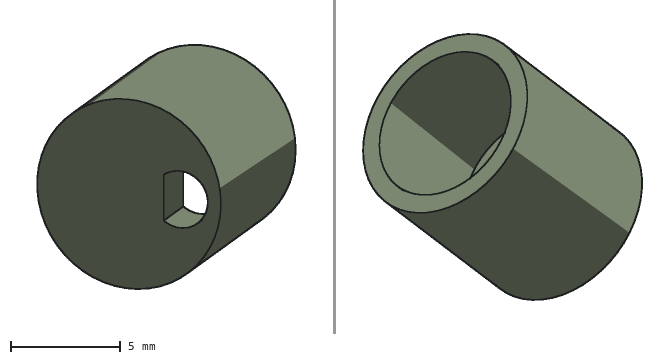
import cadquery as cq

outer_diameter = 9.0
length = 9.5
bore_diameter = 7.2
end_wall = 2.5

window_diameter = 2.7
window_offset = 2.5
window_flat_x = 1.7


def cylinder_along_y(diameter, start_y, depth, center_x=0.0):
    """Cylinder running from start_y towards +Y."""
    return (
        cq.Workplane("XZ", origin=(center_x, start_y, 0))
        .circle(diameter / 2)
        .extrude(-depth)
    )


def d_window():
    """Round cutter with its side nearest the cap axis cut flat."""
    round_cutter = cylinder_along_y(window_diameter, 0, end_wall, window_offset)
    flat_side = cq.Workplane("XY").box(
        window_diameter, end_wall, window_diameter, centered=(False, False, True)
    )
    return round_cutter.intersect(flat_side.translate((window_flat_x, 0, 0)))


body = cylinder_along_y(outer_diameter, 0, length)
bore = cylinder_along_y(bore_diameter, end_wall, length - end_wall)

result = body.cut(bore).cut(d_window())